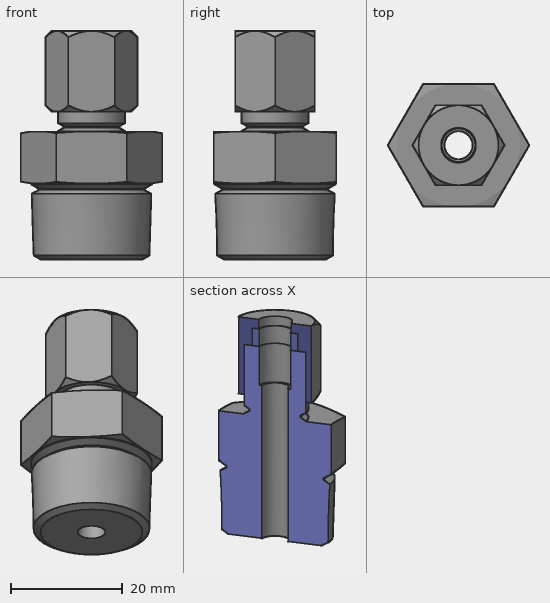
import cadquery as cq
import math

HEX_SIDES = 6
total_height = 41.0

nut_across_flats = 14.3
nut_height = 14.47
nut_chamfer_angle = 45.0
nut_bore_dia = 6.27
nut_bore_length = 1.75

tube_dia = 6.0
passage_dia = 5.0
tube_stop_z = 28.7

ring_dia = 9.0
ring_length = 3.3

body_across_flats = 22.0
body_chamfer_angle = 10.0
hex_bottom_z = 13.65
hex_top_z = 22.95
relief_angle = 30.0
pipe_end_dia = 20.83
pipe_taper = 1 / 16
pipe_end_chamfer_height = 0.75
pipe_thread_top_z = 11.75
pipe_groove_dia = 19.0
hex_collar_dia = 21.75
hex_collar_height = 0.15
stub_dia = 12.05
stub_groove_dia = 10.0
stub_collar_height = 0.1
stub_thread_bottom_z = 24.48

nut_bottom_z = total_height - nut_height
ring_top_z = total_height - nut_bore_length
stub_top_z = ring_top_z - ring_length


def slope_height(outer_dia, inner_dia, angle):
    """Height of a cone between two diameters, sloping at an angle from the horizontal."""
    return (outer_dia - inner_dia) / 2 * math.tan(math.radians(angle))


def cylinder(dia, bottom_z, top_z):
    return cq.Workplane("XY").workplane(offset=bottom_z).circle(dia / 2).extrude(top_z - bottom_z)


def revolved(dia_and_z):
    """Solid of revolution about Z through (diameter, height) pairs, listed from the bottom up."""
    outline = [(dia / 2, z) for dia, z in dia_and_z]
    bottom_z = outline[0][1]
    top_z = outline[-1][1]
    return (
        cq.Workplane("XZ")
        .polyline([(0, bottom_z), *outline, (0, top_z)])
        .close()
        .revolve(360, (0, 0, 0), (0, 1, 0))
    )


def chamfered_hexagon(across_flats, bottom_z, top_z, angle):
    """Hexagonal prism with corners on the X axis, its corners turned conical at both ends."""
    across_corners = across_flats / math.cos(math.pi / HEX_SIDES)
    chamfer_height = slope_height(across_corners, across_flats, angle)
    prism = (
        cq.Workplane("XY")
        .workplane(offset=bottom_z)
        .polygon(HEX_SIDES, across_corners)
        .extrude(top_z - bottom_z)
    )
    envelope = revolved([
        (across_flats, bottom_z),
        (across_corners, bottom_z + chamfer_height),
        (across_corners, top_z - chamfer_height),
        (across_flats, top_z),
    ])
    return prism.intersect(envelope)


def make_nut():
    nut = chamfered_hexagon(nut_across_flats, nut_bottom_z, total_height, nut_chamfer_angle)
    nut = nut.cut(cylinder(stub_dia, nut_bottom_z, stub_top_z))
    nut = nut.cut(cylinder(ring_dia, stub_top_z, ring_top_z))
    return nut.cut(cylinder(nut_bore_dia, ring_top_z, total_height))


def make_ring():
    return cylinder(ring_dia, stub_top_z, ring_top_z).cut(cylinder(tube_dia, stub_top_z, ring_top_z))


def make_pipe_end():
    """Tapered pipe thread with the relief groove below the hexagon."""
    taper_length = pipe_thread_top_z - pipe_end_chamfer_height
    pipe_top_dia = pipe_end_dia + taper_length * pipe_taper
    end_face_dia = pipe_end_dia - 2 * pipe_end_chamfer_height / math.tan(math.radians(relief_angle))
    collar_bottom_z = hex_bottom_z - hex_collar_height
    return revolved([
        (end_face_dia, 0),
        (pipe_end_dia, pipe_end_chamfer_height),
        (pipe_top_dia, pipe_thread_top_z),
        (pipe_groove_dia, pipe_thread_top_z + slope_height(pipe_top_dia, pipe_groove_dia, relief_angle)),
        (pipe_groove_dia, collar_bottom_z - slope_height(hex_collar_dia, pipe_groove_dia, relief_angle)),
        (hex_collar_dia, collar_bottom_z),
        (hex_collar_dia, hex_bottom_z),
    ])


def make_stub():
    """Threaded stub for the nut, with the relief groove above the hexagon."""
    groove_side_height = slope_height(stub_dia, stub_groove_dia, relief_angle)
    collar_top_z = hex_top_z + stub_collar_height
    return revolved([
        (stub_dia, hex_top_z),
        (stub_dia, collar_top_z),
        (stub_groove_dia, collar_top_z + groove_side_height),
        (stub_groove_dia, stub_thread_bottom_z - groove_side_height),
        (stub_dia, stub_thread_bottom_z),
        (stub_dia, stub_top_z),
    ])


def make_body():
    body = chamfered_hexagon(body_across_flats, hex_bottom_z, hex_top_z, body_chamfer_angle)
    body = body.union(make_pipe_end()).union(make_stub())
    body = body.cut(cylinder(passage_dia, 0, tube_stop_z))
    return body.cut(cylinder(tube_dia, tube_stop_z, stub_top_z))


body = make_body()
ring = make_ring()
nut = make_nut()

result = cq.Compound.makeCompound([body.val(), ring.val(), nut.val()])